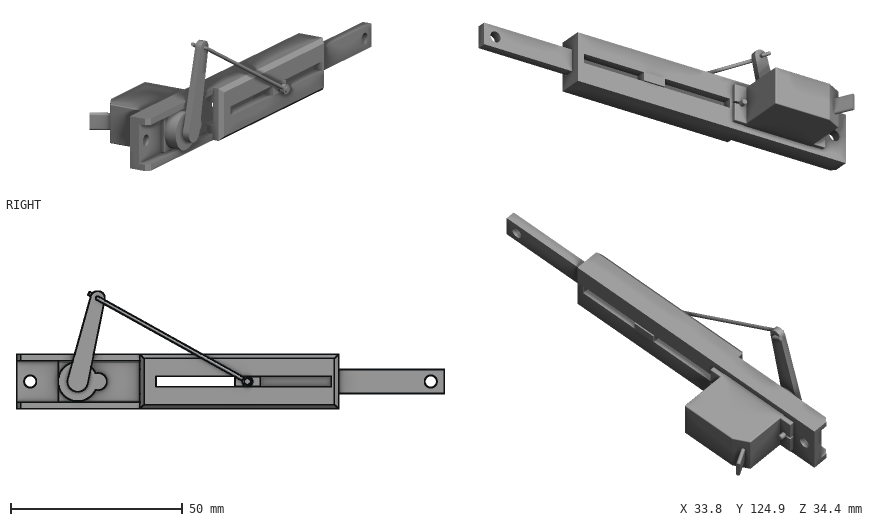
import cadquery as cq
import math


HOUSING_LENGTH = 94.0
HOUSING_HEIGHT = 16.0
HOUSING_DEPTH = 6.4
FLOOR = 3.0
EDGE_CHAMFER = 1.2
BOLT_HOLE_DIAMETER = 3.5
BOLT_HOLE_INSET = 4.0
SLOT_START = 40.7
SLOT_END = 91.8
SLOT_HEIGHT = 3.0

COVER_THICKNESS = 3.0
COVER_FRONT = HOUSING_DEPTH + COVER_THICKNESS

ASSEMBLY_LENGTH = 124.9
SLIDER_START = 63.7
SLIDER_HEIGHT = 7.1
SLIDER_THICKNESS = 3.0
CHANNEL_HEIGHT = 7.2
TAB_LENGTH = 7.4
TAB_HEIGHT = 2.7
TAB_PROJECTION = 0.4
TAB_FRONT = COVER_FRONT + TAB_PROJECTION

CASE_START = 12.1
CASE_END = 36.0
CASE_BACK = -17.0
CASE_FRONT = 4.4
CASE_HEIGHT = 12.0
SERVO_EDGE_RADIUS = 0.31
CASE_CUT_X = 2.6
CASE_CUT_Y = 4.9
SERVO_POCKET_HEIGHT = 12.1
FLANGE_THICKNESS = 1.6
FLANGE_OVERHANG = 4.0
FLANGE_SLIT = 0.7
BOSS_RADIUS = 5.7
BOSS_FRONT = 8.2
IDLER_BOSS_RADIUS = 2.5
IDLER_BOSS_OFFSET = 6.0
SHAFT_RADIUS = 2.1
SHAFT_Y = CASE_START + BOSS_RADIUS
IDLER_BOSS_Y = SHAFT_Y + IDLER_BOSS_OFFSET
CABLE_LENGTH = 6.1
CABLE_THICKNESS = 1.2
CABLE_WIDTH = 5.2
CABLE_POSITION = 0.6

SCREW_DIAMETER = 1.7
SCREW_INSET = 2.4
SCREW_PROJECTION = 1.9
SCREW_DEPTH = 2.5
SCREW_CHAMFER = 0.2
SCREW_YS = (
    CASE_START - FLANGE_OVERHANG + SCREW_INSET,
    CASE_END + FLANGE_OVERHANG - SCREW_INSET,
)

HORN_BACK = 9.0
HORN_THICKNESS = 2.0
HORN_FRONT = HORN_BACK + HORN_THICKNESS
HORN_REACH = 25.0
HORN_TILT = math.radians(13.5)
HUB_RADIUS = 3.0
TIP_RADIUS = 2.1
TIP_Y = SHAFT_Y + HORN_REACH * math.sin(HORN_TILT)
TIP_Z = HORN_REACH * math.cos(HORN_TILT)

ROD_DIAMETER = 1.1
ROD_RADIUS = ROD_DIAMETER / 2
ROD_HOOK_LENGTH = 3.0
EYE_RADIUS = 1.5
EYE_THICKNESS = 1.2
PIN_DIAMETER = 1.9
PIN_FRONT = 12.7
PIN_DEPTH = 2.5
PIN_Y = SLIDER_START + TAB_LENGTH / 2


def box(x, y, height):
    """Box spanning the ranges x and y, centred on Z = 0."""
    size_x = x[1] - x[0]
    size_y = y[1] - y[0]
    corner = cq.Workplane("XY", origin=(x[0], y[0], 0))
    return corner.box(size_x, size_y, height, centered=(False, False, True))


def rod_x(radius, x, y, z=0.0):
    """Cylinder along X spanning the range x."""
    return cq.Workplane("YZ", origin=(x[0], y, z)).circle(radius).extrude(x[1] - x[0])


def make_housing():
    body = box((0, HOUSING_DEPTH), (0, HOUSING_LENGTH), HOUSING_HEIGHT)
    body = body.faces("<Y").edges(">X").chamfer(EDGE_CHAMFER)
    servo_pocket = box((FLOOR, HOUSING_DEPTH), (0, CASE_END), SERVO_POCKET_HEIGHT)
    servo_window = box((0, FLOOR), (CASE_START, CASE_END), CASE_HEIGHT)
    channel = box((FLOOR, HOUSING_DEPTH), (CASE_END, HOUSING_LENGTH), CHANNEL_HEIGHT)
    slot = box((0, FLOOR), (SLOT_START, SLOT_END), SLOT_HEIGHT)
    bolt_hole = rod_x(BOLT_HOLE_DIAMETER / 2, (0, FLOOR), BOLT_HOLE_INSET)
    body = body.cut(servo_pocket).cut(servo_window).cut(channel).cut(slot).cut(bolt_hole)
    for screw_y in SCREW_YS:
        body = body.cut(rod_x(SCREW_DIAMETER / 2, (0, SCREW_DEPTH), screw_y))
    return body


def make_cover():
    plate = box((HOUSING_DEPTH, COVER_FRONT), (CASE_END, HOUSING_LENGTH), HOUSING_HEIGHT)
    plate = plate.faces(">X").chamfer(EDGE_CHAMFER)
    return plate.cut(box((HOUSING_DEPTH, COVER_FRONT), (SLOT_START, SLOT_END), SLOT_HEIGHT))


def make_slider():
    slider_front = FLOOR + SLIDER_THICKNESS
    bar = box((FLOOR, slider_front), (SLIDER_START, ASSEMBLY_LENGTH), SLIDER_HEIGHT)
    tab = box((-TAB_PROJECTION, TAB_FRONT), (SLIDER_START, SLIDER_START + TAB_LENGTH), TAB_HEIGHT)
    bolt_hole = rod_x(BOLT_HOLE_DIAMETER / 2, (FLOOR, slider_front), ASSEMBLY_LENGTH - BOLT_HOLE_INSET)
    pin_hole = rod_x(PIN_DIAMETER / 2, (TAB_FRONT - PIN_DEPTH, TAB_FRONT), PIN_Y)
    return bar.union(tab).cut(bolt_hole).cut(pin_hole)


def make_cable():
    """Flat cable with rounded edges, leaving the sloped corner of the case at a right angle."""
    start_x = CASE_BACK + CABLE_POSITION * CASE_CUT_X
    start_y = CASE_START + (1 - CABLE_POSITION) * CASE_CUT_Y
    outward = (-CASE_CUT_Y, -CASE_CUT_X, 0)
    plane = cq.Plane(origin=(start_x, start_y, 0), xDir=(0, 0, 1), normal=outward)
    return cq.Workplane(plane).slot2D(CABLE_WIDTH, CABLE_THICKNESS).extrude(CABLE_LENGTH)


def make_servo():
    outline = [
        (CASE_FRONT, CASE_START),
        (CASE_BACK + CASE_CUT_X, CASE_START),
        (CASE_BACK, CASE_START + CASE_CUT_Y),
        (CASE_BACK, CASE_END),
        (CASE_FRONT, CASE_END),
    ]
    case = cq.Workplane("XY").polyline(outline).close().extrude(CASE_HEIGHT / 2, both=True)
    case = case.edges().fillet(SERVO_EDGE_RADIUS)
    flange_x = (-FLANGE_THICKNESS, 0)
    flange_start = CASE_START - FLANGE_OVERHANG
    flange_end = CASE_END + FLANGE_OVERHANG
    flange = box(flange_x, (flange_start, flange_end), CASE_HEIGHT).edges().fillet(SERVO_EDGE_RADIUS)
    for screw_y in SCREW_YS:
        flange = flange.cut(rod_x(SCREW_DIAMETER / 2, flange_x, screw_y))
    for slit_y in ((flange_start, SCREW_YS[0]), (SCREW_YS[1], flange_end)):
        flange = flange.cut(box(flange_x, slit_y, FLANGE_SLIT))
    boss = rod_x(BOSS_RADIUS, (CASE_FRONT, BOSS_FRONT), SHAFT_Y)
    idler_boss = rod_x(IDLER_BOSS_RADIUS, (CASE_FRONT, BOSS_FRONT), IDLER_BOSS_Y)
    shaft = rod_x(SHAFT_RADIUS, (BOSS_FRONT, HORN_BACK), SHAFT_Y)
    return case.union(flange).union(boss).union(idler_boss).union(shaft).union(make_cable())


def make_screw(y):
    back = -FLANGE_THICKNESS - SCREW_PROJECTION
    return rod_x(SCREW_DIAMETER / 2, (back, SCREW_DEPTH), y).faces("<X").chamfer(SCREW_CHAMFER)


def make_horn():
    """Tapered arm whose sides are tangent to the round hub and the round tip."""
    x = (HORN_BACK, HORN_FRONT)
    spread = math.acos((HUB_RADIUS - TIP_RADIUS) / HORN_REACH)

    def tangent_point(radius, y, z, side):
        angle = HORN_TILT + side * spread
        return (y + radius * math.sin(angle), z + radius * math.cos(angle))

    outline = [
        tangent_point(HUB_RADIUS, SHAFT_Y, 0, -1),
        tangent_point(HUB_RADIUS, SHAFT_Y, 0, 1),
        tangent_point(TIP_RADIUS, TIP_Y, TIP_Z, 1),
        tangent_point(TIP_RADIUS, TIP_Y, TIP_Z, -1),
    ]
    arm = cq.Workplane("YZ", origin=(HORN_BACK, 0, 0)).polyline(outline).close().extrude(HORN_THICKNESS)
    hub = rod_x(HUB_RADIUS, x, SHAFT_Y)
    tip = rod_x(TIP_RADIUS, x, TIP_Y, TIP_Z)
    return arm.union(hub).union(tip).cut(rod_x(ROD_RADIUS, x, TIP_Y, TIP_Z))


def make_pushrod():
    """Round rod with an eye at the slider and a hooked end through the horn tip."""
    front_x = HORN_FRONT + ROD_RADIUS
    back_x = HORN_BACK - ROD_RADIUS
    run_length = math.hypot(PIN_Y - TIP_Y, TIP_Z)
    hook_y = TIP_Y - ROD_HOOK_LENGTH * (PIN_Y - TIP_Y) / run_length
    hook_z = TIP_Z + ROD_HOOK_LENGTH * TIP_Z / run_length
    path = cq.Workplane("XY").polyline([
        (front_x, PIN_Y, 0),
        (front_x, TIP_Y, TIP_Z),
        (back_x, TIP_Y, TIP_Z),
        (back_x, hook_y, hook_z),
    ])
    start = cq.Plane(origin=(front_x, PIN_Y, 0), xDir=(1, 0, 0), normal=(0, TIP_Y - PIN_Y, TIP_Z))
    wire = cq.Workplane(start).circle(ROD_RADIUS).sweep(path, transition="right")
    eye_x = (front_x - EYE_THICKNESS / 2, front_x + EYE_THICKNESS / 2)
    rod = wire.union(rod_x(EYE_RADIUS, eye_x, PIN_Y))
    return rod.cut(rod_x(PIN_DIAMETER / 2, eye_x, PIN_Y))


def make_pin():
    return rod_x(PIN_DIAMETER / 2, (TAB_FRONT - PIN_DEPTH, PIN_FRONT), PIN_Y)


housing = make_housing()
cover = make_cover()
slider = make_slider()
servo = make_servo()
screws = [make_screw(screw_y) for screw_y in SCREW_YS]
horn = make_horn()
pushrod = make_pushrod()
pin = make_pin()

result = cq.Compound.makeCompound([
    housing.val(),
    cover.val(),
    slider.val(),
    servo.val(),
    *[screw.val() for screw in screws],
    horn.val(),
    pushrod.val(),
    pin.val(),
])